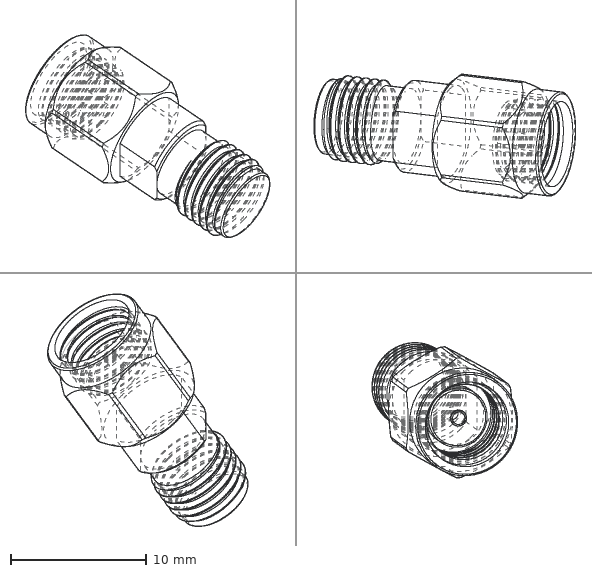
import cadquery as cq
import math

total_length = 18.29
collar_length = 2.0
nut_length = 8.38
body_end = 11.95

collar_diameter = 7.76
collar_chamfer = 0.13
nut_across_flats = 7.94
nut_corner_diameter = 8.99
nut_cone_length = 0.74

body_diameter = 6.86
body_across_flats = 5.58
body_chamfer = 0.22

thread_major_diameter = 6.35
thread_minor_diameter = 5.58
thread_pitch = 25.4 / 36
thread_half_angle = 30
thread_crest_width = thread_pitch / 8
thread_overlap = 0.05
lead_turns = 2
barrel_edge_chamfer = 0.13
outer_thread_start = 13.72
outer_thread_end = 17.6
outer_crest_at_top = 14.12

entry_depth = 0.75
socket_depth = 4.0
inner_thread_end = 3.6
inner_groove_diameter = 6.3
inner_crest_at_top = 1.66
spigot_diameter = 4.45
spigot_face = 2.75
spigot_chamfer = 0.14
contact_diameter = 1.19
contact_bore_diameter = 0.94
contact_height = 0.1
contact_bore_depth = 2.0


def cylinder(diameter, start, end):
    """Cylinder around the X axis between two stations."""
    return cq.Workplane("YZ").workplane(offset=start).circle(diameter / 2).extrude(end - start)


def revolve_about_x(points):
    """Solid of revolution from (x, radius) points."""
    return cq.Workplane("XY").polyline(points).close().revolve(360, (0, 0, 0), (1, 0, 0))


def helical_thread(base_radius, tip_radius, crest_at_top, end):
    """Right-handed helical rib around X; one crest of it passes the +Z side at crest_at_top."""
    root_radius = base_radius - thread_overlap
    slope = math.tan(math.radians(thread_half_angle))
    tip_half = thread_crest_width / 2
    root_half = tip_half + (tip_radius - root_radius) * slope
    start = crest_at_top - lead_turns * thread_pitch
    turns = math.ceil((end - start) / thread_pitch) + 1
    path = cq.Wire.makeHelix(thread_pitch, turns * thread_pitch, base_radius)
    profile = (
        cq.Workplane("XZ")
        .moveTo(root_radius, -root_half)
        .lineTo(tip_radius, -tip_half)
        .lineTo(tip_radius, tip_half)
        .lineTo(root_radius, root_half)
        .close()
    )
    rib = profile.sweep(cq.Workplane(obj=path), isFrenet=True)
    rib = rib.rotate((0, 0, 0), (0, 1, 0), 90).rotate((0, 0, 0), (1, 0, 0), 180)
    return rib.translate((start, 0, 0))


def make_nut():
    """Hexagonal coupling nut with conical ends and a round collar in front."""
    collar = cylinder(collar_diameter, 0, collar_length).faces("<X").chamfer(collar_chamfer)
    hexagon = (
        cq.Workplane("YZ")
        .workplane(offset=collar_length)
        .polygon(6, nut_across_flats, circumscribed=True)
        .extrude(nut_length - collar_length)
    )
    corner_radius = nut_corner_diameter / 2
    end_radius = collar_diameter / 2
    envelope = revolve_about_x(
        [
            (collar_length, 0),
            (collar_length, end_radius),
            (collar_length + nut_cone_length, corner_radius),
            (nut_length - nut_cone_length, corner_radius),
            (nut_length, end_radius),
            (nut_length, 0),
        ]
    )
    return collar.union(hexagon.intersect(envelope))


def make_body():
    """Round body behind the nut, with a flat on each Y side."""
    body = cylinder(body_diameter, nut_length, body_end).faces(">X").chamfer(body_chamfer)
    flats = cq.Workplane("XY").box(2 * total_length, body_across_flats, 2 * body_diameter)
    return body.intersect(flats)


def make_barrel():
    """Threaded barrel at the +X end."""
    barrel = cylinder(thread_minor_diameter, body_end, total_length).faces(">X").chamfer(barrel_edge_chamfer)
    minor_radius = thread_minor_diameter / 2
    major_radius = thread_major_diameter / 2
    rib = helical_thread(minor_radius, major_radius, outer_crest_at_top, outer_thread_end)
    limit_radius = major_radius + thread_overlap
    lead_in = limit_radius - minor_radius
    limits = revolve_about_x(
        [
            (outer_thread_start, 0),
            (outer_thread_start, minor_radius),
            (outer_thread_start + lead_in, limit_radius),
            (outer_thread_end - lead_in, limit_radius),
            (outer_thread_end, minor_radius),
            (outer_thread_end, 0),
        ]
    )
    return barrel.union(rib.intersect(limits))


def make_socket():
    """Cavity that opens at the collar face, and the thread groove in its wall."""
    entry_radius = thread_major_diameter / 2
    bore_radius = thread_minor_diameter / 2
    cone_end = entry_depth + entry_radius - bore_radius
    cavity = revolve_about_x(
        [
            (0, 0),
            (0, entry_radius),
            (entry_depth, entry_radius),
            (cone_end, bore_radius),
            (socket_depth, bore_radius),
            (socket_depth, 0),
        ]
    )
    groove = helical_thread(bore_radius, inner_groove_diameter / 2, inner_crest_at_top, inner_thread_end)
    groove = groove.intersect(cylinder(2 * thread_major_diameter, entry_depth / 2, inner_thread_end))
    return cavity, groove


def make_spigot():
    """Centre spigot on the cavity floor with its tubular contact, and the bore of that contact."""
    spigot = cylinder(spigot_diameter, spigot_face, socket_depth).faces("<X").chamfer(spigot_chamfer)
    contact = cylinder(contact_diameter, spigot_face - contact_height, socket_depth)
    bore = cylinder(contact_bore_diameter, 0, spigot_face + contact_bore_depth)
    return spigot.union(contact), bore


spigot, contact_bore = make_spigot()
cavity, thread_groove = make_socket()
shell = make_nut().union(make_body()).union(make_barrel()).cut(cavity).cut(thread_groove)
result = shell.union(spigot).cut(contact_bore)